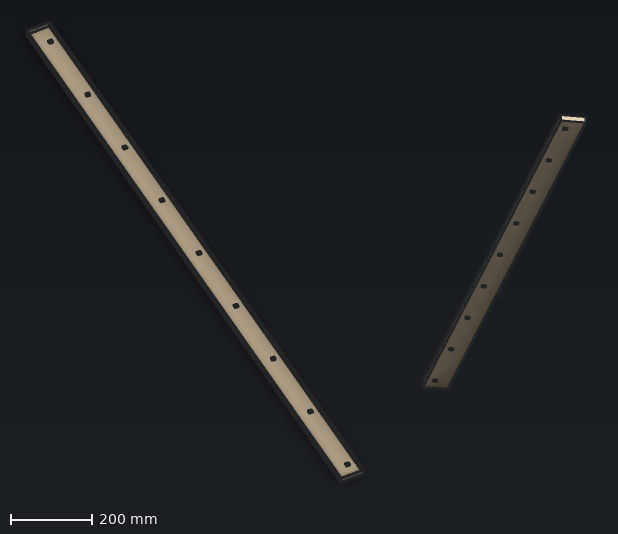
import cadquery as cq
import math

length = 1697.0
width = 65.0
height = 16.5
sheet_thickness = 1.5

bend_radius = sheet_thickness
floor_length = length - 2 * bend_radius
floor_width = width - 2 * bend_radius

corner_gap = 0.01

hole_count = 9
hole_pitch = 200.0
hole_side = 9.0
hole_row_y = 10.5


def make_floor():
    """Flat floor plate, reaching out to the bend lines."""
    return cq.Workplane("XY").box(
        floor_length, floor_width, sheet_thickness, centered=(True, True, False)
    )


def make_wall(run, bend_line_offset, turn):
    """Upright wall along one floor edge.

    It is drawn on the +Y side, centred on X, with its bend line at the given
    distance from the centre, then turned about Z to the wanted side.
    """
    inner_y = bend_line_offset
    outer_y = bend_line_offset + bend_radius
    arc_reach = bend_radius * math.sin(math.radians(45))
    arc_middle = (inner_y + arc_reach, bend_radius - arc_reach)
    return (
        cq.Workplane("YZ")
        .moveTo(inner_y, 0)
        .threePointArc(arc_middle, (outer_y, bend_radius))
        .lineTo(outer_y, height)
        .lineTo(inner_y, height)
        .close()
        .extrude(run / 2 - corner_gap, both=True)
        .rotate((0, 0, 0), (0, 0, 1), turn)
    )


def make_hole_cutters():
    """Evenly spaced square prisms, centred along the length and nearer the back wall."""
    return (
        cq.Workplane("XY")
        .center(0, hole_row_y)
        .rarray(hole_pitch, 1, hole_count, 1)
        .rect(hole_side, hole_side)
        .extrude(sheet_thickness)
    )


tray = make_floor()
for side_turn in (0, 180):
    side_wall = make_wall(floor_length, floor_width / 2, side_turn)
    end_wall = make_wall(floor_width, floor_length / 2, side_turn + 90)
    tray = tray.union(side_wall).union(end_wall)

tray = tray.cut(make_hole_cutters())
result = cq.Workplane(tray.solids().val())